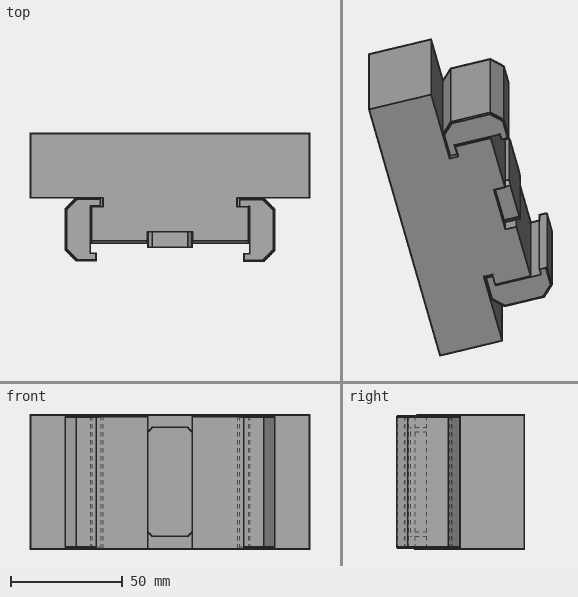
import cadquery as cq

LENGTH = 125
HEIGHT = 60
DEPTH = 57.2
BLOCK_DEPTH = 28.8

NECK_HALF_WIDTH = 30
NECK_DEPTH = 4.0
HEAD_HALF_WIDTH = 35
HEAD_FRONT = 49.1
HEAD_BEVEL_DEPTH = 1.2
HEAD_BEVEL_HEIGHT = 0.8

CHANNEL_WIDTH = 20
CHANNEL_FLOOR = 44.0
PAD_WIDTH = 19.8
PAD_HEIGHT = 48.8
PAD_FRONT = 51.0
PAD_CORNER = 2.0

CLIP_OUTER = 46.9
CLIP_INNER = 35.6
CLIP_GAP = 0.2
CLIP_BACK = BLOCK_DEPTH + CLIP_GAP
CLIP_TAB_END = 31.0
CLIP_LIP_END = 33.0
CLIP_LIP_THICKNESS = 3.5
CLIP_CORNER = 5
CLIP_END_GAP = 0.4
CLIP_END_BEVEL = 0.6

SHOULDER = BLOCK_DEPTH + NECK_DEPTH


def box(width, back, front, height):
    """Box centred in X and Z between two distances from the back face."""
    return cq.Workplane("XY").box(width, front - back, height).translate((0, -(back + front) / 2, 0))


def make_body():
    """Block with its T-shaped rail, beveled along the upper front edge."""
    block = box(LENGTH, 0, BLOCK_DEPTH, HEIGHT)
    neck = box(2 * NECK_HALF_WIDTH, BLOCK_DEPTH, SHOULDER, HEIGHT)
    head = box(2 * HEAD_HALF_WIDTH, SHOULDER, HEAD_FRONT, HEIGHT)
    bevel = (
        cq.Workplane("YZ")
        .moveTo(-HEAD_FRONT, HEIGHT / 2)
        .lineTo(-HEAD_FRONT + HEAD_BEVEL_DEPTH, HEIGHT / 2)
        .lineTo(-HEAD_FRONT, HEIGHT / 2 - HEAD_BEVEL_HEIGHT)
        .close()
        .extrude(HEAD_HALF_WIDTH, both=True)
    )
    channel = box(CHANNEL_WIDTH, CHANNEL_FLOOR, HEAD_FRONT, HEIGHT)
    return block.union(neck).union(head).cut(bevel).cut(channel)


def make_pad():
    """Raised pad with cut corners, seated on the channel floor."""
    return box(PAD_WIDTH, CHANNEL_FLOOR, PAD_FRONT, PAD_HEIGHT).edges("|Y").chamfer(PAD_CORNER)


def make_clip():
    """Right-hand clip with its outer end edges beveled."""
    height = HEIGHT - 2 * CLIP_END_GAP
    outline = [
        (CLIP_TAB_END, -SHOULDER),
        (CLIP_TAB_END, -CLIP_BACK),
        (CLIP_OUTER - CLIP_CORNER, -CLIP_BACK),
        (CLIP_OUTER, -CLIP_BACK - CLIP_CORNER),
        (CLIP_OUTER, -DEPTH + CLIP_CORNER),
        (CLIP_OUTER - CLIP_CORNER, -DEPTH),
        (CLIP_LIP_END, -DEPTH),
        (CLIP_LIP_END, -DEPTH + CLIP_LIP_THICKNESS),
        (CLIP_INNER, -DEPTH + CLIP_LIP_THICKNESS),
        (CLIP_INNER, -SHOULDER),
    ]
    clip = cq.Workplane("XY").polyline(outline).close().extrude(height / 2, both=True)
    outer_faces = clip.faces("<Y or >Y or >X or >(1, 1, 0) or >(1, -1, 0)")
    return outer_faces.edges("#Z").chamfer(CLIP_END_BEVEL)


right_clip = make_clip()
left_clip = right_clip.mirror("YZ").translate((0, CLIP_GAP, 0))
result = make_body().union(make_pad()).union(right_clip).union(left_clip)